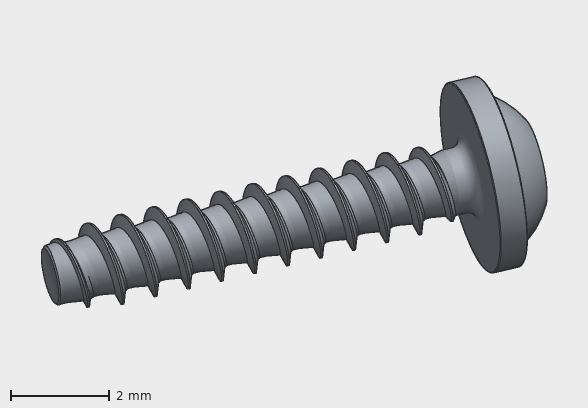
import cadquery as cq
import math


total_length = 10.35
flange_diameter = 4.0
flange_thickness = 0.59
flange_edge_break = 0.02
dome_height = 0.76
dome_base_radius = 1.67
dome_top_radius = 0.95

neck_radius = 0.68
neck_fillet = 0.25
neck_end = 0.45
core_radius = 0.61
core_start = 0.75

tip_rim_radius = 0.58
dish_depth = 0.04

crest_radius = 0.9
crest_width = 0.04
head_flank_offset = 0.12
tip_flank_offset = 0.1
head_root_radius = 0.64
tip_root_radius = 0.65
lead_in_radius = 0.66
foot_sink_depth = 0.01
ridge_inner_radius = 0.54
head_slope_length = 0.07
tip_slope_length = 0.37
ten_turn_length = 7.09
pitch = ten_turn_length / 10
crest_start = -0.05
lead_in_turns = 1.75
full_turns = 9.5
lead_out_turns = 1.5
run_out_turns = 0.5
points_per_turn = 16

flange_radius = flange_diameter / 2
shank_length = total_length - flange_thickness - dome_height
foot_radius = core_radius - foot_sink_depth
total_turns = lead_in_turns + full_turns + lead_out_turns + run_out_turns


def make_body():
    """Head, neck and plain core as one revolved profile (radius, axial position)."""
    flange_top = -flange_thickness
    head_top = flange_top - dome_height
    mid_height = (head_top + flange_top) / 2
    centre = (
        mid_height
        + (dome_top_radius**2 - dome_base_radius**2) / (2 * (head_top - flange_top))
    )
    sphere_radius = math.hypot(dome_top_radius, head_top - centre)
    dome_mid = (math.sqrt(sphere_radius**2 - (mid_height - centre) ** 2), mid_height)
    fillet_inset = neck_fillet * (1 - math.sqrt(0.5))
    fillet_mid = (neck_radius + fillet_inset, fillet_inset)
    profile = (
        cq.Workplane("XZ")
        .moveTo(0, head_top)
        .lineTo(dome_top_radius, head_top)
        .threePointArc(dome_mid, (dome_base_radius, flange_top))
        .lineTo(flange_radius - flange_edge_break, flange_top)
        .lineTo(flange_radius, flange_top + flange_edge_break)
        .lineTo(flange_radius, -flange_edge_break)
        .lineTo(flange_radius - flange_edge_break, 0)
        .lineTo(neck_radius + neck_fillet, 0)
        .threePointArc(fillet_mid, (neck_radius, neck_fillet))
        .lineTo(neck_radius, neck_end)
        .lineTo(core_radius, core_start)
        .lineTo(core_radius, shank_length)
        .lineTo(0, shank_length)
        .close()
    )
    return profile.revolve(360, (0, 0, 0), (0, 1, 0))


def lead_out_fall(turn):
    """How far the ridge has sunk towards the tip: 0 at full height, 1 at the core."""
    return min(max(turn - lead_in_turns - full_turns, 0) / lead_out_turns, 1)


def crest_radius_at(turn):
    """Crest radius, rising at the neck and sinking to the core at the tip."""
    rise = min(turn / lead_in_turns, 1)
    return (
        lead_in_radius
        + (crest_radius - lead_in_radius) * rise
        - (crest_radius - tip_root_radius) * lead_out_fall(turn)
    )


def flank_offset_at(turn, full_offset):
    """Axial distance from crest centre to flank root, narrowing as the ridge sinks."""
    return full_offset - (full_offset - crest_width / 2) * lead_out_fall(turn)


def spiral(offset_at, radius_at, start_turn, end_turn):
    """Right-handed spiral whose axial offset and radius may vary by turn."""
    steps = math.ceil((end_turn - start_turn) * points_per_turn)
    turns = [start_turn + (end_turn - start_turn) * i / steps for i in range(steps + 1)]
    points = [
        cq.Vector(
            radius_at(turn) * math.cos(2 * math.pi * turn),
            radius_at(turn) * math.sin(2 * math.pi * turn),
            crest_start + offset_at(turn) + pitch * turn,
        )
        for turn in turns
    ]
    return cq.Edge.makeSpline(points, parameters=turns)


def section_face(corners):
    """Flat face closing one end of the ridge."""
    return cq.Face.makeFromWires(cq.Wire.makePolygon(corners, close=True))


def make_thread():
    """Ridge with a long sloping foot on its tip side, trimmed to the threaded length."""
    head_foot = -head_flank_offset - head_slope_length
    tip_foot = tip_flank_offset + tip_slope_length
    section = [
        (lambda turn: head_foot, lambda turn: ridge_inner_radius),
        (lambda turn: head_foot, lambda turn: foot_radius),
        (lambda turn: -flank_offset_at(turn, head_flank_offset), lambda turn: head_root_radius),
        (lambda turn: -crest_width / 2, crest_radius_at),
        (lambda turn: crest_width / 2, crest_radius_at),
        (lambda turn: flank_offset_at(turn, tip_flank_offset), lambda turn: tip_root_radius),
        (lambda turn: tip_foot, lambda turn: foot_radius),
        (lambda turn: tip_foot, lambda turn: ridge_inner_radius),
    ]
    faces = []
    for start_turn in range(math.ceil(total_turns)):
        end_turn = min(start_turn + 1, total_turns)
        spirals = [
            spiral(offset_at, radius_at, start_turn, end_turn) for offset_at, radius_at in section
        ]
        if start_turn == 0:
            faces.append(section_face([edge.startPoint() for edge in spirals]))
        for edge, next_edge in zip(spirals, spirals[1:] + spirals[:1]):
            faces.append(cq.Face.makeRuledSurface(edge, next_edge))
    faces.append(section_face([edge.endPoint() for edge in spirals]))
    ridge = cq.Solid.makeSolid(cq.Shell.makeShell(faces))
    threaded_length = (
        cq.Workplane("XY", origin=(0, 0, neck_end))
        .circle(flange_radius)
        .extrude(shank_length - neck_end)
    )
    return threaded_length.intersect(cq.Workplane(ridge))


def tip_dish():
    """Shallow spherical dish in the end face."""
    radius = (tip_rim_radius**2 + dish_depth**2) / (2 * dish_depth)
    return cq.Workplane("XY", origin=(0, 0, shank_length - dish_depth + radius)).sphere(radius)


def tip_rim_trim():
    """Ring that bevels the end of the core and ridge at 45 degrees."""
    bevel = crest_radius - tip_rim_radius
    return (
        cq.Workplane("XZ")
        .moveTo(tip_rim_radius, shank_length)
        .lineTo(crest_radius, shank_length - bevel)
        .lineTo(crest_radius, shank_length)
        .close()
        .revolve(360, (0, 0, 0), (0, 1, 0))
    )


screw = make_body().union(make_thread()).cut(tip_rim_trim()).cut(tip_dish())
result = screw.rotate((0, 0, 0), (1, 0, 0), 90)